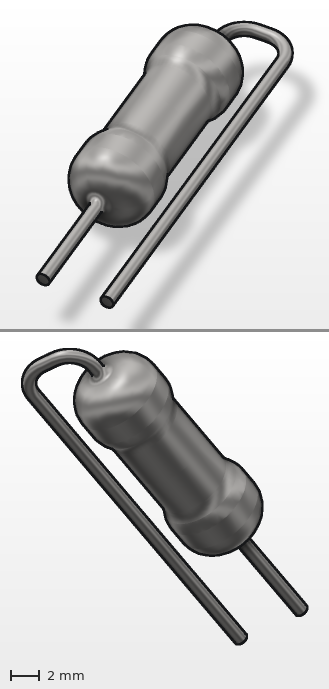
import cadquery as cq
import math

total_length = 29.6
cap_radius = 6.5 / 2
waist_radius = 5.55 / 2
lead_radius = 1.0 / 2
body_length = 17.45
cap_straight = 1.5
root_fillet = 0.6
shoulder_length = 1.85
lead_spacing = 5.0
bend_radius = 2.0
bend_start = 9.7

body_end = body_length / 2
cap_corner = cap_radius - lead_radius - root_fillet
cap_outer = body_end - cap_corner
cap_inner = cap_outer - cap_straight
waist_end = cap_inner - shoulder_length
lead_tip = bend_start + bend_radius + lead_radius - total_length
diagonal = math.sqrt(0.5)


def make_half_body():
    """Revolve the +Y half of the body, from its middle to the lead root."""
    flare_end = body_end + root_fillet
    flare_radius = lead_radius + root_fillet
    shoulder_middle = ((waist_radius + cap_radius) / 2, (waist_end + cap_inner) / 2)
    corner_middle = (
        flare_radius + cap_corner * diagonal,
        cap_outer + cap_corner * diagonal,
    )
    flare_middle = (
        flare_radius - root_fillet * diagonal,
        flare_end - root_fillet * diagonal,
    )
    profile = (
        cq.Workplane("XY")
        .lineTo(waist_radius, 0)
        .lineTo(waist_radius, waist_end)
        .tangentArcPoint(shoulder_middle, relative=False)
        .tangentArcPoint((cap_radius, cap_inner), relative=False)
        .lineTo(cap_radius, cap_outer)
        .threePointArc(corner_middle, (flare_radius, body_end))
        .threePointArc(flare_middle, (lead_radius, flare_end))
        .lineTo(0, flare_end)
        .close()
    )
    return profile.revolve(360, (0, 0, 0), (0, 1, 0))


def make_straight_lead(x, y_start, y_end):
    """Round wire parallel to Y."""
    wire = cq.Workplane("XZ", origin=(x, y_end, 0)).circle(lead_radius)
    return wire.extrude(y_end - y_start)


def make_bend():
    """Two quarter bends that fold the upper lead back beside the body."""
    bend_top = bend_start + bend_radius
    bend_offset = bend_radius * (1 - diagonal)
    path = (
        cq.Workplane("XY")
        .moveTo(0, bend_start)
        .threePointArc((bend_offset, bend_top - bend_offset), (bend_radius, bend_top))
        .lineTo(lead_spacing - bend_radius, bend_top)
        .threePointArc(
            (lead_spacing - bend_offset, bend_top - bend_offset),
            (lead_spacing, bend_start),
        )
    )
    wire = cq.Workplane("XZ", origin=(0, bend_start, 0)).circle(lead_radius)
    return wire.sweep(path)


upper_half = make_half_body()
lower_half = upper_half.mirror("XZ")
result = (
    upper_half.union(lower_half)
    .union(make_straight_lead(0, lead_tip, -body_end))
    .union(make_straight_lead(0, body_end, bend_start))
    .union(make_bend())
    .union(make_straight_lead(lead_spacing, lead_tip, bend_start))
)